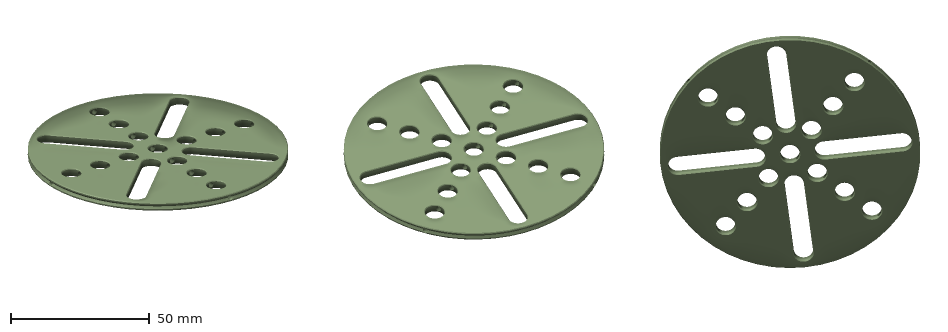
import cadquery as cq
disc_diameter = 93.75
disc_thickness = 3.1
edge_chamfer = 0.3
disc_radius = disc_diameter / 2
half_thickness = disc_thickness / 2

groove_depth = 0.7
groove_width = 1.6

hole_diameter = 7.0
hole_pitch = 37.5 / 3
holes_per_arm = 3

slot_width = hole_diameter
slot_travel = 28.1
slot_middle_radius = hole_pitch + slot_travel / 2
slot_angles = (45, 135, 225, 315)

cross_hole_diameter = 2.0
cross_hole_axes = ((1, 0, 0), (0, 1, 0))


def grooved_disc():
    """Disc centred on the origin, revolved from a half section with the V-groove in its rim."""
    half_groove = groove_width / 2
    section = (
        cq.Workplane("XZ")
        .moveTo(0, -half_thickness)
        .lineTo(disc_radius, -half_thickness)
        .lineTo(disc_radius, -half_groove)
        .lineTo(disc_radius - groove_depth, 0)
        .lineTo(disc_radius, half_groove)
        .lineTo(disc_radius, half_thickness)
        .lineTo(0, half_thickness)
        .close()
    )
    disc = section.revolve(360, (0, 0, 0), (0, 1, 0))
    return disc.rotate((0, 0, 0), (0, 0, 1), slot_angles[0])


def axis_holes():
    """Cutters for the centre hole and the holes along the four half-axes."""
    centres = [(0, 0)]
    for step in range(1, holes_per_arm + 1):
        distance = step * hole_pitch
        centres += [(distance, 0), (-distance, 0), (0, distance), (0, -distance)]
    sketch = cq.Workplane("XY").pushPoints(centres).circle(hole_diameter / 2)
    return sketch.extrude(disc_thickness, both=True)


def diagonal_slot(angle):
    """Cutter for the slot that runs outwards in the given direction."""
    slot = (
        cq.Workplane("XY")
        .center(slot_middle_radius, 0)
        .slot2D(slot_travel + slot_width, slot_width)
        .extrude(disc_thickness, both=True)
    )
    return slot.rotate((0, 0, 0), (0, 0, 1), angle)


def cross_drilling(axis):
    """Cutter for a drilling across the disc along the given axis."""
    plane = cq.Plane(origin=(0, 0, 0), xDir=(0, 0, 1), normal=axis)
    return cq.Workplane(plane).circle(cross_hole_diameter / 2).extrude(disc_diameter, both=True)


result = grooved_disc().cut(axis_holes())
for slot_angle in slot_angles:
    result = result.cut(diagonal_slot(slot_angle))

result = result.faces("|Z").edges().chamfer(edge_chamfer)

for drilling_axis in cross_hole_axes:
    result = result.cut(cross_drilling(drilling_axis))